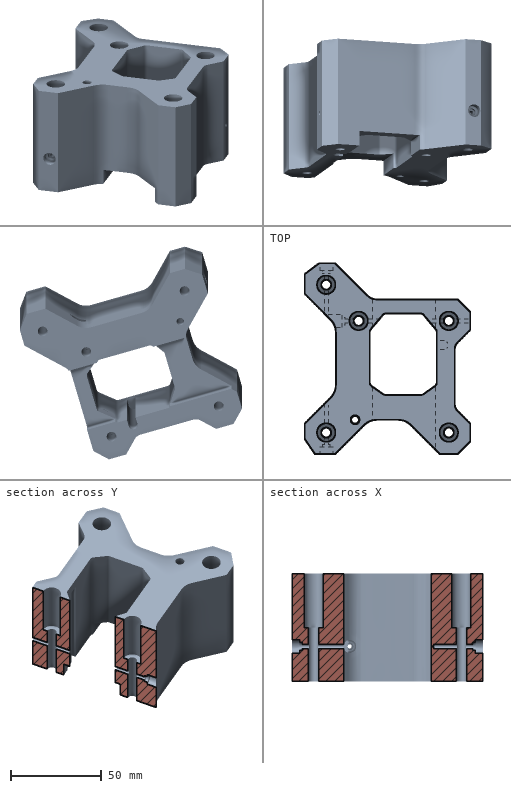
import cadquery as cq
import math

width = 92.0
length = 106.0
height = 60.0

body_left = 17.3
body_right = 83.4
body_front = 19.0
body_back = 86.0

leg_reach = 17.0
front_left_chamfer_x = 5.7
front_left_chamfer_y = 8.4
back_left_chamfer_x = 8.1
back_left_chamfer_y = 6.0
right_chamfer = 7.0

main_root = 10.0
back_root = 7.0
right_root = 5.0

opening_left = 36.3
opening_right = 73.2
opening_front = 33.0
opening_back = 78.0
opening_chamfer_x = 7.8
opening_front_chamfer_y = 5.5
opening_back_chamfer_y = 9.3
opening_corner = 2.0

channel_left = 37.5
channel_width = 35.0
channel_height = 8.3

slot_center_y = 60.6
slot_width = 5.0
slot_depth = 6.3
slot_top = 54.4

screw_left = 12.0
screw_inner = 30.0
screw_right = 80.0
screw_front = 12.0
screw_back = 74.0
screw_far = 94.0
screw_bore = 5.4
screw_head = 10.3

pilot_x = 28.0
pilot_y = 19.1
pilot_bore = 4.1
pilot_mouth = 5.0

mouth_depth = height / 2

cross_z = 19.6
cross_head = 7.1
cross_body = 4.1
cross_drill = 2.2
cross_head_depth = 4.0
cross_body_depth = 5.5
front_drill_depth = 27.0
back_drill_depth = 28.6
drill_point_angle = 118.0
left_head_end = 20.7
left_body_end = 22.3


def make_body():
    """Extrude the four-legged outline and round the leg roots."""
    left_leg_x = leg_reach
    right_leg_x = width - leg_reach
    front_leg_y = leg_reach
    back_right_leg_y = body_back - leg_reach
    back_left_leg_y = length - leg_reach
    right_recess = width - body_right

    front_roots = [(left_leg_x + body_front, body_front), (right_leg_x - body_front, body_front)]
    right_roots = [
        (body_right, front_leg_y + right_recess),
        (body_right, back_right_leg_y - right_recess),
    ]
    back_roots = [(left_leg_x + length - body_back, body_back)]
    left_roots = [(body_left, back_left_leg_y - body_left), (body_left, front_leg_y + body_left)]

    outline = [
        (front_left_chamfer_x, 0),
        (left_leg_x, 0),
        *front_roots,
        (right_leg_x, 0),
        (width - right_chamfer, 0),
        (width, right_chamfer),
        (width, front_leg_y),
        *right_roots,
        (width, back_right_leg_y),
        (width, body_back - right_chamfer),
        (width - right_chamfer, body_back),
        *back_roots,
        (left_leg_x, length),
        (back_left_chamfer_x, length),
        (0, length - back_left_chamfer_y),
        (0, back_left_leg_y),
        *left_roots,
        (0, front_leg_y),
        (0, front_left_chamfer_y),
    ]
    body = cq.Workplane("XY").polyline(outline).close().extrude(height)
    rounded_roots = [
        (front_roots + left_roots, main_root),
        (right_roots, right_root),
        (back_roots, back_root),
    ]
    for roots, radius in rounded_roots:
        for x, y in roots:
            edge_at_root = cq.selectors.NearestToPointSelector((x, y, height / 2))
            body = body.edges("|Z").edges(edge_at_root).fillet(radius)
    return body


def make_opening():
    """Through opening with four chamfered corners, their edges rounded."""
    inner_left = opening_left + opening_chamfer_x
    inner_right = opening_right - opening_chamfer_x
    inner_front = opening_front + opening_front_chamfer_y
    inner_back = opening_back - opening_back_chamfer_y
    outline = [
        (inner_left, opening_front),
        (inner_right, opening_front),
        (opening_right, inner_front),
        (opening_right, inner_back),
        (inner_right, opening_back),
        (inner_left, opening_back),
        (opening_left, inner_back),
        (opening_left, inner_front),
    ]
    opening = cq.Workplane("XY").polyline(outline).close().extrude(height)
    return opening.edges("|Z").fillet(opening_corner)


def make_channel():
    """Rectangular channel along the whole underside."""
    channel = cq.Workplane("XY").box(channel_width, length, channel_height, centered=False)
    return channel.translate((channel_left, 0, 0))


def make_slot():
    """Vertical slot, open at the bottom, that reaches from the opening into its right wall."""
    slot_end = opening_right + slot_depth
    start_x = (opening_left + opening_right) / 2
    round_x = slot_end - slot_width / 2
    return (
        cq.Workplane("XY")
        .moveTo(start_x, slot_center_y - slot_width / 2)
        .lineTo(round_x, slot_center_y - slot_width / 2)
        .threePointArc((slot_end, slot_center_y), (round_x, slot_center_y + slot_width / 2))
        .lineTo(start_x, slot_center_y + slot_width / 2)
        .close()
        .extrude(slot_top)
    )


def make_vertical_hole(x, y, bore, mouth):
    """Through hole with a wider upper part."""
    hole = cq.Workplane("XY").center(x, y).circle(bore / 2).extrude(height)
    upper = cq.Workplane("XY", origin=(x, y, height)).circle(mouth / 2).extrude(-mouth_depth)
    return hole.union(upper)


def make_cross_hole(start, direction, head_depth, body_depth, drill_depth):
    """Three coaxial steps ending in a drill point, all measured from the start point."""
    origin = cq.Vector(*start)
    axis = cq.Vector(*direction)
    steps = [(cross_head, head_depth), (cross_body, body_depth), (cross_drill, drill_depth)]
    point_height = cross_drill / 2 / math.tan(math.radians(drill_point_angle / 2))
    point = cq.Solid.makeCone(cross_drill / 2, 0, point_height, origin + axis * drill_depth, axis)
    hole = cq.Workplane(point)
    for diameter, depth in steps:
        hole = hole.union(cq.Workplane(cq.Solid.makeCylinder(diameter / 2, depth, origin, axis)))
    return hole


result = make_body().cut(make_opening()).cut(make_channel()).cut(make_slot())

screw_places = [
    (screw_left, screw_front),
    (screw_right, screw_front),
    (screw_inner, screw_back),
    (screw_right, screw_back),
    (screw_left, screw_far),
]
for screw_x, screw_y in screw_places:
    result = result.cut(make_vertical_hole(screw_x, screw_y, screw_bore, screw_head))
result = result.cut(make_vertical_hole(pilot_x, pilot_y, pilot_bore, pilot_mouth))

front_start = (screw_left, 0, cross_z)
back_start = (screw_left, length, cross_z)
left_start = (0, screw_back, cross_z)
cross_holes = [
    make_cross_hole(front_start, (0, 1, 0), cross_head_depth, cross_body_depth, front_drill_depth),
    make_cross_hole(back_start, (0, -1, 0), cross_head_depth, cross_body_depth, back_drill_depth),
    make_cross_hole(left_start, (1, 0, 0), left_head_end, left_body_end, width),
]
for cross_hole in cross_holes:
    result = result.cut(cross_hole)